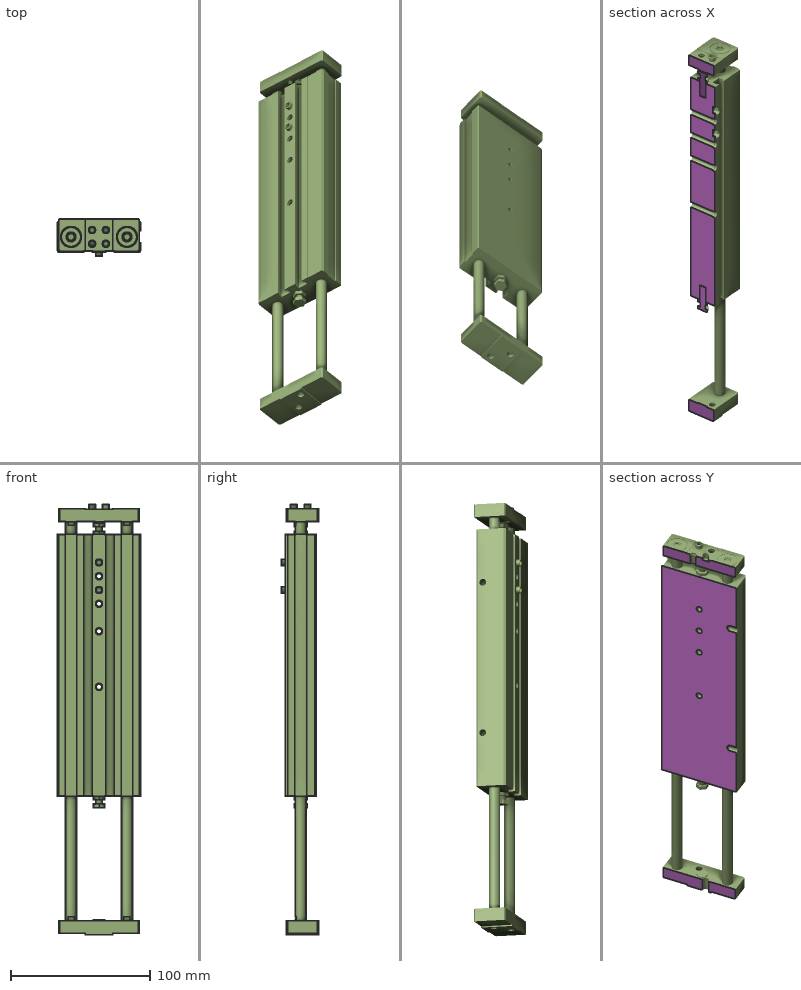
import cadquery as cq
import math


UP = (0, 0, 1)
DOWN = (0, 0, -1)
FORWARD = (0, -1, 0)
BACKWARD = (0, 1, 0)
RIGHTWARD = (1, 0, 0)

rod_diameter = 8.0
rod_x = 20.0
wrench_flat_offset = 3.5
wrench_flat_height = 2.8

housing_width = 60.0
housing_depth = 22.3
housing_bottom = 99.5
housing_top = 287.7
back_chamfer = 1.0
front_chamfer_x = 1.0
front_chamfer_y = 2.0

slot_inner_x = 5.0
slot_outer_x = 10.8
slot_depth = 5.3
slot_lip = 1.5
slot_undercut = 1.0
panel_width = 8.5
panel_depth = 0.15
side_groove_width = 8.7
side_groove_depth = 1.0

seat_diameter = 5.0
seat_depth = 1.5
through_diameter = 4.0
sleeve_hole_drops = [20.0, 40.0]
through_hole_drops = [30.0, 49.8, 69.5, 109.5]
side_hole_diameter = 5.0
side_hole_y = 6.2
side_hole_inset = 39.0
side_hole_depth = 6.2

plate_width = 58.2
plate_front = -10.2
plate_back = 13.0
plate_thickness = 9.3
plate_chamfer = 1.0
lower_plate_bottom = 1.0
upper_plate_bottom = 297.0
band_width = 19.8
upper_band_depth = 0.3
pad_diameter = 8.0
pad_height = 0.5
plate_hole_offset = 5.0

ring_outer_diameter = 15.0
ring_inner_diameter = 14.0
ring_depth = 0.3
socket_rim_diameter = 6.8
socket_diameter = 5.0
socket_depth = 1.0

sleeve_chamfer = 0.3
plate_sleeve_protrusion = 3.5
housing_sleeve_protrusion = 2.8

hex_across_flats = 8.0
nut_height = 2.5
head_height = 2.8
screw_diameter = 5.0
stop_reach = 8.5
screw_embed = 12.5

housing_height = housing_top - housing_bottom
half_width = housing_width / 2
half_depth = housing_depth / 2
slot_floor_y = slot_depth - half_depth
lower_plate_top = lower_plate_bottom + plate_thickness
upper_plate_top = upper_plate_bottom + plate_thickness
band_floor = upper_plate_top - upper_band_depth
rod_length = upper_plate_bottom - lower_plate_top
rod_centers = [-rod_x, rod_x]
sleeve_points = [(-plate_hole_offset, plate_hole_offset), (plate_hole_offset, -plate_hole_offset)]
open_points = [(-plate_hole_offset, -plate_hole_offset), (plate_hole_offset, plate_hole_offset)]
stop_ends = [(housing_top, 1), (housing_bottom, -1)]


def cylinder(diameter, start, direction, length):
    """Round bar that runs from the start point along the direction."""
    bar = cq.Solid.makeCylinder(diameter / 2, length, cq.Vector(*start), cq.Vector(*direction))
    return cq.Workplane(bar)


def block(x_range, y_range, z_range):
    """Box between two limits on each axis."""
    sizes = [limits[1] - limits[0] for limits in (x_range, y_range, z_range)]
    corner = (x_range[0], y_range[0], z_range[0])
    return cq.Workplane("XY").box(*sizes, centered=False).translate(corner)


def centered_range(center, width):
    return (center - width / 2, center + width / 2)


def hex_prism(z, direction, height):
    """Hexagon on the Z axis with corners toward +Y and -Y."""
    across_corners = hex_across_flats / math.cos(math.pi / 6)
    prism = cq.Workplane("XY").polygon(6, across_corners).extrude(direction * height)
    return prism.rotate((0, 0, 0), (0, 0, 1), 90).translate((0, 0, z))


def housing_profile():
    outline = [
        (half_width - back_chamfer, half_depth),
        (half_width, half_depth - back_chamfer),
        (half_width, front_chamfer_y - half_depth),
        (half_width - front_chamfer_x, -half_depth),
        (front_chamfer_x - half_width, -half_depth),
        (-half_width, front_chamfer_y - half_depth),
        (-half_width, half_depth - back_chamfer),
        (back_chamfer - half_width, half_depth),
    ]
    profile = cq.Workplane("XY", origin=(0, 0, housing_bottom))
    return profile.polyline(outline).close().extrude(housing_height)


def cut_lengthwise_grooves(body):
    full_height = (housing_bottom, housing_top)
    for side in (-1, 1):
        inner, outer = sorted((side * slot_inner_x, side * slot_outer_x))
        mouth = block((inner, outer), (-half_depth, slot_floor_y), full_height)
        undercut = block(
            (inner - slot_undercut, outer + slot_undercut),
            (slot_lip - half_depth, slot_floor_y),
            full_height,
        )
        panel = block(
            centered_range(side * rod_x, panel_width),
            (-half_depth, panel_depth - half_depth),
            full_height,
        )
        body = body.cut(mouth).cut(undercut).cut(panel)
    side_groove = block(
        (half_width - side_groove_depth, half_width),
        centered_range(0, side_groove_width),
        full_height,
    )
    return body.cut(side_groove)


def cut_front_holes(body):
    for drop in sleeve_hole_drops + through_hole_drops:
        start = (0, -half_depth, housing_top - drop)
        body = body.cut(cylinder(seat_diameter, start, BACKWARD, seat_depth))
        if drop in through_hole_drops:
            body = body.cut(cylinder(through_diameter, start, BACKWARD, housing_depth))
    return body


def cut_side_holes(body):
    """Blind holes with 90 degree drill points in the -X side."""
    radius = side_hole_diameter / 2
    for z in (housing_bottom + side_hole_inset, housing_top - side_hole_inset):
        shank = cylinder(side_hole_diameter, (-half_width, side_hole_y, z), RIGHTWARD, side_hole_depth)
        point_start = cq.Vector(side_hole_depth - half_width, side_hole_y, z)
        point = cq.Solid.makeCone(radius, 0, radius, point_start, cq.Vector(*RIGHTWARD))
        body = body.cut(shank).cut(cq.Workplane(point))
    return body


def make_housing():
    body = cut_lengthwise_grooves(housing_profile())
    body = cut_front_holes(body)
    body = cut_side_holes(body)
    for x in rod_centers:
        body = body.cut(cylinder(rod_diameter, (x, 0, housing_bottom), UP, housing_height))
    for z, direction in stop_ends:
        body = body.cut(cylinder(screw_diameter, (0, 0, z), (0, 0, -direction), screw_embed))
    return body


def make_plate(bottom):
    plate = block(
        centered_range(0, plate_width),
        (plate_front, plate_back),
        (bottom, bottom + plate_thickness),
    )
    return plate.edges("|Z").chamfer(plate_chamfer)


def middle_band(bottom, top):
    return block(centered_range(0, band_width), (plate_front, plate_back), (bottom, top))


def make_lower_plate():
    plate = make_plate(lower_plate_bottom).union(middle_band(0, lower_plate_bottom))
    plate = plate.union(cylinder(pad_diameter, (0, 0, lower_plate_top), UP, pad_height))
    for x, y in sleeve_points:
        plate = plate.cut(cylinder(seat_diameter, (x, y, 0), UP, lower_plate_top))
    return plate


def make_upper_plate():
    plate = make_plate(upper_plate_bottom).cut(middle_band(band_floor, upper_plate_top))
    plate = plate.union(cylinder(pad_diameter, (0, 0, upper_plate_bottom), DOWN, pad_height))
    for x, y in sleeve_points + open_points:
        plate = plate.cut(cylinder(seat_diameter, (x, y, band_floor), DOWN, seat_depth))
    for x, y in open_points:
        plate = plate.cut(cylinder(through_diameter, (x, y, band_floor), DOWN, plate_thickness))
    for x in rod_centers:
        start = (x, 0, upper_plate_top)
        ring = cylinder(ring_outer_diameter, start, DOWN, ring_depth)
        ring = ring.cut(cylinder(ring_inner_diameter, start, DOWN, ring_depth))
        plate = plate.cut(ring)
        plate = plate.cut(cylinder(socket_rim_diameter, start, DOWN, ring_depth))
        plate = plate.cut(cylinder(socket_diameter, start, DOWN, socket_depth))
    return plate


def make_rod(x):
    """Rod between the plates, with a wrench flat on its front at each end."""
    rod = cylinder(rod_diameter, (x, 0, lower_plate_top), UP, rod_length)
    for z in (lower_plate_top, upper_plate_bottom - wrench_flat_height):
        flat = block(
            centered_range(x, rod_diameter),
            (-rod_diameter, -wrench_flat_offset),
            (z, z + wrench_flat_height),
        )
        rod = rod.cut(flat)
    return rod


def make_yoke():
    body = make_lower_plate()
    for x in rod_centers:
        body = body.union(make_rod(x))
    return body.union(make_upper_plate())


def make_sleeve(surface_point, outward, protrusion):
    """Thin sleeve that stands on the floor of its seat."""
    base = cq.Vector(*surface_point) - cq.Vector(*outward) * seat_depth
    length = seat_depth + protrusion
    tip_face = cq.selectors.DirectionMinMaxSelector(cq.Vector(*outward), True)
    sleeve = cylinder(seat_diameter, base.toTuple(), outward, length)
    sleeve = sleeve.faces(tip_face).chamfer(sleeve_chamfer)
    return sleeve.cut(cylinder(through_diameter, base.toTuple(), outward, length))


def make_lock_nut(z, direction):
    nut = hex_prism(z, direction, nut_height)
    return nut.cut(cylinder(screw_diameter, (0, 0, z), (0, 0, direction), nut_height))


def make_stop_screw(z, direction):
    """Hex-headed screw whose shank enters the housing end at height z."""
    head = hex_prism(z + direction * (stop_reach - head_height), direction, head_height)
    shank_start = (0, 0, z - direction * screw_embed)
    shank_length = screw_embed + stop_reach - head_height
    return head.union(cylinder(screw_diameter, shank_start, (0, 0, direction), shank_length))


housing = make_housing()
yoke = make_yoke()

sleeves = []
for x, y in sleeve_points:
    sleeves.append(make_sleeve((x, y, band_floor), UP, plate_sleeve_protrusion))
for drop in sleeve_hole_drops:
    sleeves.append(make_sleeve((0, -half_depth, housing_top - drop), FORWARD, housing_sleeve_protrusion))

lock_nuts = []
stop_screws = []
for end_z, end_direction in stop_ends:
    lock_nuts.append(make_lock_nut(end_z, end_direction))
    stop_screws.append(make_stop_screw(end_z, end_direction))

bodies = [housing, yoke, *sleeves, *lock_nuts, *stop_screws]
result = cq.Compound.makeCompound([body.solids().val() for body in bodies])